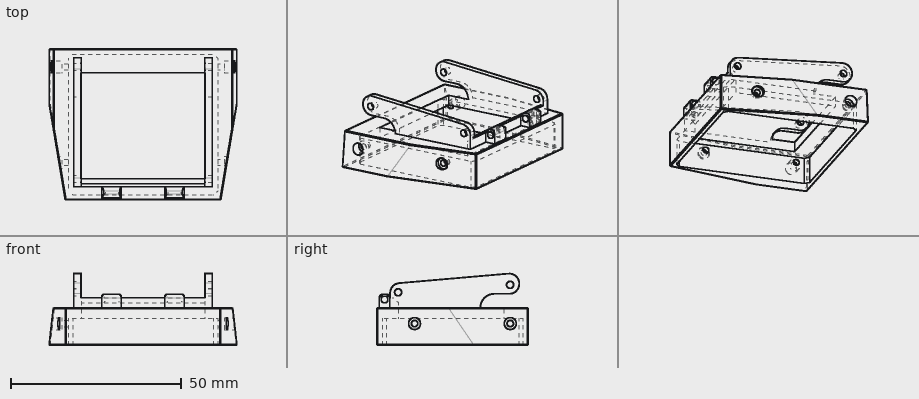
import cadquery as cq
import math


depth = 44.25
outer_width = 55.04
front_width = 45.6
housing_height = 11.02
side_draft = 6.5
taper_start_y = 28.4
edge_chamfer = 0.28
bottom_width = outer_width + 2 * edge_chamfer * math.sin(math.radians(side_draft))

roof_thickness = 3.0
cavity_half_width = 21.85
cavity_wall = 1.5
cavity_corner = 1.2
opening_width = 36.2
opening_front_y = 6.28
opening_back_y = 37.2

arm_thickness = 2.2
arm_front_y = 3.8
arm_round = 3.0
total_height = 21.07
rear_round_y = 38.72
rear_round_z = total_height - arm_round
front_round_y = arm_front_y + arm_round
front_round_z = 15.3
root_center_y = 34.35
arm_hole_diameter = 2.0
arm_holes = [(39.0, 17.75), (6.2, 15.55)]

strip_top_z = 14.0
strip_top_thickness = 1.0

lug_spacing = 18.4
lug_length = 5.8
lug_front_y = 0.65
lug_top_z = 15.0
lug_round = 1.1
lug_end_chamfer = 0.55
dimple_diameter = 2.0
dimple_z = 13.45

screw_z = 6.4
screw_ys = [11.0, 39.05]
screw_diameter = 1.8
screw_head_diameter = 3.5
screw_head_floor_x = 23.85


def cylinder_along_x(diameter, x_start, x_end, y, z):
    length = x_end - x_start
    return cq.Workplane("YZ", origin=(x_start, y, z)).circle(diameter / 2).extrude(length)


def box_between(x_range, y_range, z_range):
    sizes = [high - low for low, high in (x_range, y_range, z_range)]
    corner = (x_range[0], y_range[0], z_range[0])
    return cq.Workplane("XY", origin=corner).box(*sizes, centered=False)


def make_housing():
    half_bottom = bottom_width / 2
    half_front = front_width / 2
    half_top = half_bottom - housing_height * math.tan(math.radians(side_draft))
    drafted = (
        cq.Workplane("XZ")
        .polyline([
            (-half_bottom, 0),
            (half_bottom, 0),
            (half_top, housing_height),
            (-half_top, housing_height),
        ])
        .close()
        .extrude(-depth)
    )
    plan = (
        cq.Workplane("XY")
        .polyline([
            (-half_front, 0),
            (half_front, 0),
            (half_bottom, taper_start_y),
            (half_bottom, depth),
            (-half_bottom, depth),
            (-half_bottom, taper_start_y),
        ])
        .close()
        .extrude(housing_height)
    )
    housing = drafted.intersect(plan)
    outer_edges = housing.faces("<Z or >Z or <Y or >Y").edges()
    return housing.newObject(outer_edges.vals()).chamfer(edge_chamfer)


def make_cavity():
    cavity = box_between(
        (-cavity_half_width, cavity_half_width),
        (cavity_wall, depth - cavity_wall),
        (0, housing_height - roof_thickness),
    )
    return cavity.edges("|Z").chamfer(cavity_corner)


def make_arm(x_start):
    slope = math.atan2(rear_round_z - front_round_z, rear_round_y - front_round_y)

    def on_round(center_y, center_z, angle):
        return (center_y + arm_round * math.cos(angle), center_z + arm_round * math.sin(angle))

    slope_normal = slope + math.pi / 2
    front_middle = (slope_normal + math.pi) / 2
    rear_bottom_z = rear_round_z - arm_round
    root_radius = rear_bottom_z - housing_height
    diagonal = root_radius * math.sqrt(0.5)
    arm = (
        cq.Workplane("YZ", origin=(x_start, 0, 0))
        .moveTo(arm_front_y, housing_height - roof_thickness)
        .lineTo(arm_front_y, front_round_z)
        .threePointArc(
            on_round(front_round_y, front_round_z, front_middle),
            on_round(front_round_y, front_round_z, slope_normal),
        )
        .lineTo(*on_round(rear_round_y, rear_round_z, slope_normal))
        .threePointArc((rear_round_y + arm_round, rear_round_z), (rear_round_y, rear_bottom_z))
        .lineTo(root_center_y, rear_bottom_z)
        .threePointArc(
            (root_center_y - diagonal, housing_height + diagonal),
            (root_center_y - root_radius, housing_height),
        )
        .lineTo(root_center_y - root_radius, housing_height - roof_thickness)
        .close()
        .extrude(arm_thickness)
    )
    for y, z in arm_holes:
        arm = arm.cut(cylinder_along_x(arm_hole_diameter, x_start, x_start + arm_thickness, y, z))
    return arm


def make_strip():
    strip_back_y = arm_front_y + strip_top_thickness
    slope_run = opening_front_y - strip_back_y
    return (
        cq.Workplane("YZ", origin=(-opening_width / 2, 0, 0))
        .polyline([
            (arm_front_y, housing_height - roof_thickness),
            (arm_front_y, strip_top_z),
            (strip_back_y, strip_top_z),
            (opening_front_y, strip_top_z - slope_run),
            (opening_front_y, housing_height - roof_thickness),
        ])
        .close()
        .extrude(opening_width)
    )


def make_lug(center_x):
    x_low = center_x - lug_length / 2
    x_high = center_x + lug_length / 2
    lug = box_between(
        (x_low, x_high), (lug_front_y, arm_front_y), (housing_height - edge_chamfer, lug_top_z)
    )
    lug = lug.edges("|X and >Z").fillet(lug_round)
    chamfer_wedge = (
        cq.Workplane("XZ")
        .polyline([(0, lug_top_z), (lug_end_chamfer, lug_top_z), (0, lug_top_z - lug_end_chamfer)])
        .close()
        .extrude(-arm_front_y)
    )
    lug = lug.cut(chamfer_wedge.translate((x_low, 0, 0)))
    lug = lug.cut(chamfer_wedge.mirror("YZ").translate((x_high, 0, 0)))
    center_y = (lug_front_y + arm_front_y) / 2
    dimple = cq.Workplane("YZ").sphere(dimple_diameter / 2)
    for x in (x_low, x_high):
        lug = lug.cut(dimple.translate((x, center_y, dimple_z)))
    return lug


def cut_screw_holes(body):
    reach = bottom_width / 2
    for y in screw_ys:
        body = body.cut(cylinder_along_x(screw_diameter, -reach, reach, y, screw_z))
        body = body.cut(cylinder_along_x(screw_head_diameter, screw_head_floor_x, reach, y, screw_z))
        body = body.cut(cylinder_along_x(screw_head_diameter, -reach, -screw_head_floor_x, y, screw_z))
    return body


half_opening = opening_width / 2
body = make_housing().cut(make_cavity())
body = body.cut(
    box_between((-half_opening, half_opening), (opening_front_y, opening_back_y), (0, housing_height))
)
body = cut_screw_holes(body)
for arm_x in (-half_opening - arm_thickness, half_opening):
    body = body.union(make_arm(arm_x))
body = body.union(make_strip())
for lug_x in (-lug_spacing / 2, lug_spacing / 2):
    body = body.union(make_lug(lug_x))

result = body.clean()